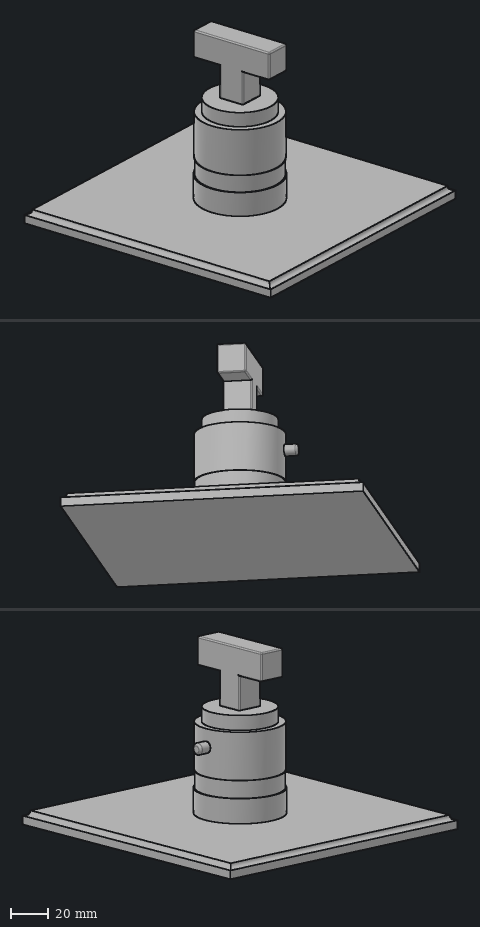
import cadquery as cq

PLATE_SIDE = 165.1
PLATE_EDGE_HEIGHT = 5.0
COVE_RADIUS = 3.0
PLATE_TOP = PLATE_EDGE_HEIGHT + COVE_RADIUS

BASE_DIAMETER = 50.0
RING_DIAMETER = 48.7
SLEEVE_DIAMETER = 49.4
CAP_DIAMETER = 41.1
BASE_TOP = 21.8
RING_TOP = 31.7
SLEEVE_TOP = 58.5
CAP_TOP = 66.7

TOTAL_HEIGHT = 102.2
BAR_LENGTH = 51.0
BAR_HEIGHT = 16.2
HANDLE_THICKNESS = 15.8
STEM_WIDTH = HANDLE_THICKNESS
HANDLE_FILLET = 0.8

PIN_DIAMETER = 6.6
PIN_REACH = 31.9
PIN_HEIGHT = 48.2
PIN_FILLET = 1.3


def disc(diameter, bottom, top):
    """Upright cylinder on the Z axis between two heights."""
    return cq.Workplane("XY").workplane(offset=bottom).circle(diameter / 2).extrude(top - bottom)


def make_plate():
    """Square plate whose upper rim is hollowed by a quarter-round cove on all four sides."""
    half = PLATE_SIDE / 2
    plate = cq.Workplane("XY").rect(PLATE_SIDE, PLATE_SIDE).extrude(PLATE_TOP)
    cutter = (
        cq.Workplane("XZ")
        .center(half, PLATE_TOP)
        .circle(COVE_RADIUS)
        .extrude(half, both=True)
    )
    for side in range(4):
        plate = plate.cut(cutter.rotate((0, 0, 0), (0, 0, 1), 90 * side))
    return plate


def make_body():
    """Stack of coaxial cylinders standing on the plate."""
    return (
        disc(BASE_DIAMETER, PLATE_TOP, BASE_TOP)
        .union(disc(RING_DIAMETER, BASE_TOP, RING_TOP))
        .union(disc(SLEEVE_DIAMETER, RING_TOP, SLEEVE_TOP))
        .union(disc(CAP_DIAMETER, SLEEVE_TOP, CAP_TOP))
    )


def make_handle():
    """T-shaped block with a small rounding along every outer edge."""
    bar_bottom = TOTAL_HEIGHT - BAR_HEIGHT
    stem_height = bar_bottom - CAP_TOP
    profile = (
        cq.Workplane("XZ")
        .moveTo(-STEM_WIDTH / 2, CAP_TOP)
        .hLine(STEM_WIDTH)
        .vLine(stem_height)
        .hLineTo(BAR_LENGTH / 2)
        .vLine(BAR_HEIGHT)
        .hLine(-BAR_LENGTH)
        .vLine(-BAR_HEIGHT)
        .hLineTo(-STEM_WIDTH / 2)
        .close()
    )
    handle = profile.extrude(HANDLE_THICKNESS / 2, both=True)
    end_edges = handle.edges("|Y").edges("<X or >X or <Z")
    return handle.faces("|Y").edges().add(end_edges).fillet(HANDLE_FILLET)


def make_pin():
    """Radial pin with a rounded tip, starting on the Z axis inside the sleeve."""
    pin = cq.Workplane("XZ").center(0, PIN_HEIGHT).circle(PIN_DIAMETER / 2).extrude(-PIN_REACH)
    return pin.faces(">Y").edges().fillet(PIN_FILLET)


result = make_plate().union(make_body()).union(make_handle()).union(make_pin())